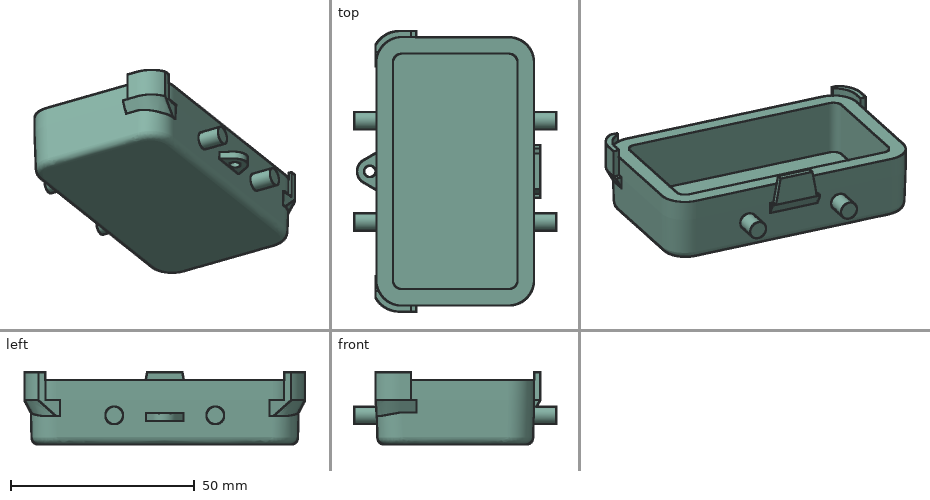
import cadquery as cq
import math

overall_x = 55.0
overall_y = 76.4
overall_z = 19.7

tab_thickness = 1.7
rim_x = 42.9
rim_y = overall_y - 2 * tab_thickness
corner_radius = 6.95
rim_bottom_z = 12.1
rim_top_z = 17.6
wall_draft = 0.3
bottom_fillet = 2.0
wall = 4.5
floor_z = 2.7

pin_diameter = 4.8
pin_spacing = 27.5
pin_z = 7.95

ear_radius = 3.5
ear_hole_diameter = 3.05
ear_tip_x = -26.75
ear_bottom_z = 6.4
ear_thickness = 2.15
ear_flank_angle = math.radians(30)

tab_side_x = -21.7
tab_side_end_y = 32.5
tab_flat_corner_y = 34.4
tab_arc_end_x = -15.1
tab_arc_radius = 7.6
tab_end_x = -12.0
support_end_x = -10.55
support_end_y = 28.5
support_bottom_z = 7.8
support_bottom_x = -21.4
support_bottom_y = 35.9

latch_top_width = 9.6
latch_bottom_width = 12.4
latch_support_width = 14.4
latch_support_bottom_z = 8.6

latch_x = rim_x / 2 + tab_thickness
overlap = wall / 2


def rounded_outline(inset):
    """Tray outline as a closed sketch with the same corner radius at any inset."""
    return cq.Sketch().rect(rim_x - 2 * inset, rim_y - 2 * inset).vertices().fillet(corner_radius)


def make_tray():
    rim = cq.Workplane("XY").workplane(offset=rim_bottom_z)
    rim = rim.placeSketch(rounded_outline(0)).extrude(rim_top_z - rim_bottom_z)
    lower = (
        cq.Workplane("XY")
        .placeSketch(
            rounded_outline(wall_draft),
            rounded_outline(0).moved(cq.Location(cq.Vector(0, 0, rim_bottom_z))),
        )
        .loft(ruled=True)
        .faces("<Z")
        .edges()
        .fillet(bottom_fillet)
    )
    return rim.union(lower)


def make_cavity():
    return (
        cq.Workplane("XY")
        .workplane(offset=floor_z)
        .rect(rim_x - 2 * wall, rim_y - 2 * wall)
        .extrude(overall_z - floor_z)
        .edges("|Z")
        .fillet(corner_radius - wall)
    )


def make_pin(side, y):
    """Round pin standing out of the wall on the given side (-1 or +1) of X."""
    inner_x = rim_x / 2 - overlap
    pin = cq.Workplane("YZ").center(y, pin_z).circle(pin_diameter / 2)
    return pin.extrude(side * (overall_x / 2 - inner_x)).translate((side * inner_x, 0, 0))


def make_ear():
    centre_x = ear_tip_x + ear_radius
    root_x = -rim_x / 2 + overlap
    tangent_x = centre_x - ear_radius * math.sin(ear_flank_angle)
    tangent_y = ear_radius * math.cos(ear_flank_angle)
    root_y = tangent_y + (root_x - tangent_x) * math.tan(ear_flank_angle)
    return (
        cq.Workplane("XY")
        .workplane(offset=ear_bottom_z)
        .moveTo(root_x, -root_y)
        .lineTo(tangent_x, -tangent_y)
        .threePointArc((ear_tip_x, 0), (tangent_x, tangent_y))
        .lineTo(root_x, root_y)
        .close()
        .extrude(ear_thickness)
    )


def make_ear_hole():
    """Cutter for the ear hole, only as tall as the ear."""
    hole = cq.Workplane("XY").workplane(offset=ear_bottom_z)
    hole = hole.center(ear_tip_x + ear_radius, 0)
    return hole.circle(ear_hole_diameter / 2).extrude(ear_thickness)


def corner_outline(plane, side, start_y, arc_start_y, arc_end_x, outer_y, radius, end_x):
    """Closed corner outline: flat at x = side, an arc, then flat at y = outer_y."""
    inner_x = -rim_x / 2 + overlap
    inner_y = rim_y / 2 - overlap
    return (
        plane.moveTo(side, start_y)
        .lineTo(side, arc_start_y)
        .radiusArc((arc_end_x, outer_y), radius)
        .lineTo(end_x, outer_y)
        .lineTo(end_x, inner_y)
        .lineTo(inner_x, start_y)
        .close()
    )


def make_tab():
    """Upright corner tab at the (-X, +Y) corner, wrapped around the rim."""
    base = cq.Workplane("XY").workplane(offset=rim_bottom_z)
    height = overall_z - rim_bottom_z
    tab = corner_outline(
        base, tab_side_x, tab_side_end_y, tab_flat_corner_y,
        tab_arc_end_x, overall_y / 2, tab_arc_radius, tab_end_x,
    ).extrude(height)
    return tab.cut(base.placeSketch(rounded_outline(0)).extrude(height))


def make_tab_support():
    """Tapered support under the (-X, +Y) tab, shrinking downwards into the wall."""
    bottom_radius = tab_arc_end_x - support_bottom_x
    support = corner_outline(
        cq.Workplane("XY").workplane(offset=support_bottom_z),
        support_bottom_x, support_end_y, support_bottom_y - bottom_radius,
        tab_arc_end_x, support_bottom_y, bottom_radius, support_end_x,
    ).workplane(offset=rim_bottom_z - support_bottom_z)
    return corner_outline(
        support, tab_side_x, support_end_y, tab_flat_corner_y,
        tab_arc_end_x, overall_y / 2, tab_arc_radius, support_end_x,
    ).loft(ruled=True)


def make_latch():
    """Upright plate that narrows towards its top."""
    return (
        cq.Workplane("YZ")
        .workplane(offset=rim_x / 2)
        .moveTo(-latch_bottom_width / 2, rim_bottom_z)
        .lineTo(latch_bottom_width / 2, rim_bottom_z)
        .lineTo(latch_top_width / 2, overall_z)
        .lineTo(-latch_top_width / 2, overall_z)
        .close()
        .extrude(tab_thickness)
    )


def make_latch_support():
    """Wedge under the latch."""
    inner_x = rim_x / 2 - overlap
    return (
        cq.Workplane("XZ")
        .moveTo(inner_x, rim_bottom_z)
        .lineTo(latch_x, rim_bottom_z)
        .lineTo(rim_x / 2 - wall_draft, latch_support_bottom_z)
        .lineTo(inner_x, latch_support_bottom_z)
        .close()
        .extrude(latch_support_width / 2, both=True)
    )


result = make_tray()

for side in (-1, 1):
    for y in (-pin_spacing / 2, pin_spacing / 2):
        result = result.union(make_pin(side, y))

result = result.union(make_ear()).cut(make_ear_hole())

for corner_part in (make_tab(), make_tab_support()):
    result = result.union(corner_part).union(corner_part.mirror("XZ"))

result = result.union(make_latch()).union(make_latch_support())
result = result.cut(make_cavity())